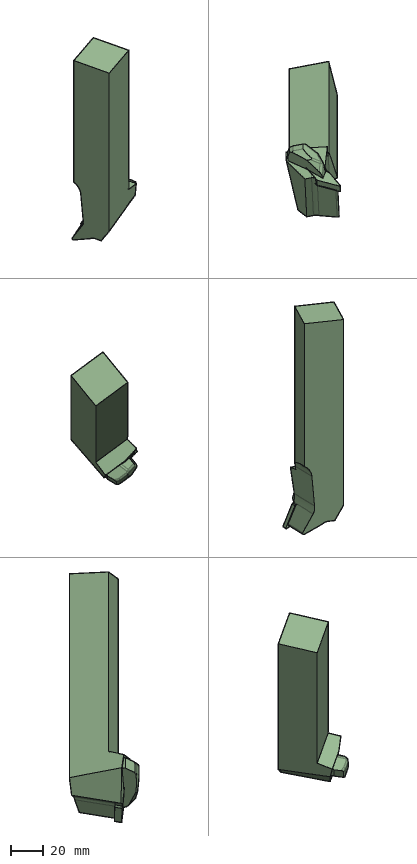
import cadquery as cq


top_z = 151.4
shank_size = 25.0
shoulder_z = 38.9
shoulder_slope = 0.26

lean = 0.18
wall_lean = cq.Vector(-lean, 1, -lean)
head_reach = 45.4
margin = 15.1
blank_width = 45.4

crease_x = -15.3
crease_y = 34.7
crease_z = 36.6
rake_slope_x = 0.18
rake_slope_z = 0.16

nose = (-27.4, 5.0)
nose_radius = 0.9
neck_low = (-19.4, 19.7)
neck_high = (-18.5, 25.1)
relief_top = (-20.1, 45.7)
runout_end = (-27.2, 53.9)
heel_z = 13.5
heel_corner_x = -5.6
heel_flat_end_x = -9.8
flank_end = (-13.3, 12.1)
heel_slope = 0.56

insert_tip = (-32.8, -0.5)
insert_left = (-25.7, 13.5)
insert_right = (-18.3, 6.2)
insert_tip_y = 25.0
insert_thickness = 4.5
insert_nose_radius = 0.38

clamp_right_x = -1.2
clamp_base_y = 28.0
clamp_plan = [
    (clamp_right_x, 39.4),
    (-8.3, 39.4),
    (-21.0, 23.8),
    (-23.9, 13.9),
    (-22.0, 7.5),
    (clamp_right_x, 28.0),
]
clamp_end = [
    (clamp_right_x, clamp_base_y),
    (clamp_right_x, 35.4),
    (-3.8, 40.7),
    (-6.0, 41.3),
    (-12.4, 41.3),
    (-25.7, 35.3),
    (-25.7, clamp_base_y),
]
clamp_back_base = (clamp_base_y, 37.8)
clamp_back_top = (41.8, 31.6)
clamp_crown = (41.0, 23.3)
clamp_front_top = (38.7, 15.1)
clamp_front = (31.5, 7.5)
clamp_edge_radius = 1.89
clamp_round_zones = [
    ((-25.7, 35.5, 7.5), (-16.6, 42.4, 36.3)),
    ((-15.1, 33.3, 31.0), (-4.5, 42.4, 36.3)),
    ((-25.7, 33.3, 7.5), (-21.8, 35.5, 12.1)),
]


def oblique_prism(outline, sweep):
    """Sweep a closed outline along a vector that need not be square to it."""
    return cq.Workplane(cq.Solid.extrudeLinear(outline, [], sweep))


def on_base_plane():
    """Sketch plane at Y = 0 whose local axes are the part's X and Z."""
    return cq.Workplane(cq.Plane((0, 0, 0), (1, 0, 0), (0, -1, 0)))


def round_edge(body, midpoint, radius):
    """Fillet the edge whose midpoint is nearest to the given point."""
    return body.edges(cq.selectors.NearestToPointSelector(midpoint.toTuple())).fillet(radius)


def shank():
    length = top_z - shoulder_z
    block = cq.Workplane("XY").box(shank_size, shank_size, length, centered=False)
    return block.translate((-shank_size, 0, shoulder_z))


def leaning_walls():
    """Volume inside the leaning side walls, open above the relief and the heel."""
    open_top_z = 2 * top_z
    heel_top_x = heel_corner_x + heel_slope * (open_top_z - heel_z)
    left_x = runout_end[0] - margin
    outline = (
        on_base_plane()
        .moveTo(*nose)
        .lineTo(*neck_low)
        .tangentArcPoint(neck_high, relative=False)
        .lineTo(*relief_top)
        .tangentArcPoint(runout_end, relative=False)
        .lineTo(left_x, runout_end[1] + margin)
        .lineTo(left_x, open_top_z)
        .lineTo(heel_top_x, open_top_z)
        .lineTo(heel_corner_x, heel_z)
        .lineTo(heel_flat_end_x, heel_z)
        .tangentArcPoint(flank_end, relative=False)
        .close()
    )
    walls = oblique_prism(outline.val(), wall_lean * head_reach)
    nose_middle = cq.Vector(nose[0], 0, nose[1]) + wall_lean * (head_reach / 2)
    return round_edge(walls, nose_middle, nose_radius)


def below_rake():
    """Volume under the two planes of the rake face."""
    bottom_z = -margin
    bottom_shift_y = rake_slope_z * (bottom_z - crease_z)
    left_y = crease_y - rake_slope_x * (blank_width + crease_x)
    floor_y = -2 * margin
    outline = (
        cq.Workplane("XY", origin=(0, bottom_shift_y, bottom_z))
        .moveTo(-blank_width, left_y)
        .lineTo(crease_x, crease_y)
        .lineTo(0, crease_y)
        .lineTo(0, floor_y)
        .lineTo(-blank_width, floor_y)
        .close()
    )
    return oblique_prism(outline.val(), cq.Vector(0, rake_slope_z, 1) * top_z)


def head_blank():
    back_z = shoulder_z - shoulder_slope * (head_reach - shank_size)
    blank = (
        cq.Workplane("YZ")
        .moveTo(0, -margin)
        .lineTo(0, shoulder_z)
        .lineTo(shank_size, shoulder_z)
        .lineTo(head_reach, back_z)
        .lineTo(head_reach, -margin)
        .close()
        .extrude(-blank_width)
    )
    return blank.intersect(below_rake())


def insert_corner(x, z):
    """Point on the plane of the insert's top face, which is square to the leaning walls."""
    return cq.Vector(x, insert_tip_y + lean * (x - insert_tip[0]) + lean * (z - insert_tip[1]), z)


def rhombus_prism(rise):
    """Prism from the insert's top face along the wall lean; a negative rise goes into the head."""
    tip, left, right = (insert_corner(*corner) for corner in (insert_tip, insert_left, insert_right))
    far = left + right - tip
    outline = cq.Wire.makePolygon([tip, left, far, right], close=True)
    prism = oblique_prism(outline, wall_lean * rise)
    return round_edge(prism, tip + wall_lean * (rise / 2), insert_nose_radius)


def clamp():
    plan = on_base_plane().polyline(clamp_plan).close().extrude(-head_reach)
    side = (
        cq.Workplane("YZ")
        .moveTo(*clamp_back_base)
        .lineTo(*clamp_back_top)
        .threePointArc(clamp_crown, clamp_front_top)
        .lineTo(*clamp_front)
        .lineTo(clamp_base_y, clamp_front[1])
        .close()
        .extrude(-blank_width)
    )
    end = cq.Workplane("XY").polyline(clamp_end).close().extrude(head_reach)
    body = plan.intersect(side).intersect(end)
    finger_rim, back_rim, finger_corner = (cq.selectors.BoxSelector(*zone) for zone in clamp_round_zones)
    return body.edges(finger_rim + back_rim + finger_corner).fillet(clamp_edge_radius)


def make_insert():
    return rhombus_prism(-insert_thickness / wall_lean.Length)


def make_holder(insert):
    """Shank, head and clamp in one piece, with the seat open above the insert beside the clamp."""
    seat = insert.union(rhombus_prism(margin))
    head = head_blank().cut(seat)
    return shank().union(head).union(clamp()).intersect(leaning_walls()).cut(insert)


insert = make_insert()
holder = make_holder(insert)

result = cq.Compound.makeCompound([holder.solids().val(), insert.solids().val()])